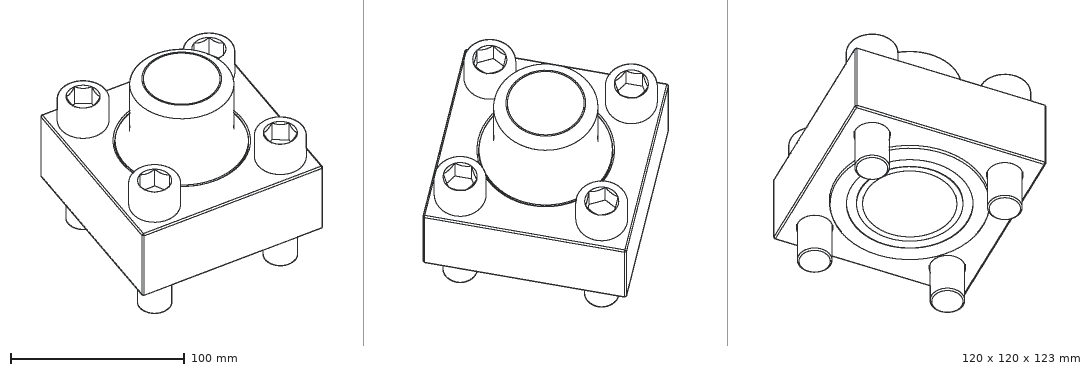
import cadquery as cq
import math

flange_width = 120.0
flange_height = 48.1
flange_bottom = 26.9
flange_top = flange_bottom + flange_height
edge_chamfer = 1.0
neck_hole_diameter = 77.5
collar_recess_diameter = 93.0
collar_recess_depth = 14.0

nipple_top = 123.0
nipple_bottom = 25.1
neck_diameter = 60.3
neck_rim_diameter = 46.0
weld_bevel_angle = 30.0
body_diameter = 77.0
collar_diameter = 92.0
collar_top = flange_bottom + collar_recess_depth
bore_diameter = 44.3
bore_length = 24.1
bore_mouth_diameter = 54.5

seal_inner_diameter = 61.5
seal_outer_diameter = 73.2
seal_protrusion = 1.5
seal_section = (seal_outer_diameter - seal_inner_diameter) / 2
seal_center_radius = (seal_outer_diameter + seal_inner_diameter) / 4
seal_bottom = nipple_bottom - seal_protrusion
groove_depth = seal_section - seal_protrusion

screw_spacing = 83.5
screw_count = 4
screw_hole_diameter = 21.0
shank_diameter = 20.0
shank_tip_chamfer = 1.0
shank_bottom = 0.0
head_diameter = 30.0
head_height = 20.0
head_rounding = 2.0
socket_corner_diameter = 19.7
socket_depth = 13.0
socket_chamfer_angle = 45.0


def cylinder(diameter, bottom, top):
    return cq.Workplane("XY").workplane(offset=bottom).circle(diameter / 2).extrude(top - bottom)


def make_flange():
    block = (
        cq.Workplane("XY")
        .workplane(offset=flange_bottom)
        .rect(flange_width, flange_width)
        .extrude(flange_height)
        .edges()
        .chamfer(edge_chamfer)
    )
    neck_hole = cylinder(neck_hole_diameter, flange_bottom, flange_top)
    collar_recess = cylinder(collar_recess_diameter, flange_bottom, collar_top)
    screw_holes = (
        cq.Workplane("XY")
        .workplane(offset=flange_bottom)
        .rect(screw_spacing, screw_spacing, forConstruction=True)
        .vertices()
        .circle(screw_hole_diameter / 2)
        .extrude(flange_height)
    )
    bored_block = block.cut(neck_hole).faces(">Z").edges("%CIRCLE").chamfer(edge_chamfer)
    return bored_block.cut(collar_recess).cut(screw_holes)


def make_nipple():
    neck_radius = neck_diameter / 2
    body_radius = body_diameter / 2
    rim_radius = neck_rim_diameter / 2
    collar_radius = collar_diameter / 2
    bore_radius = bore_diameter / 2
    foot_radius = body_radius - neck_radius
    bevel_height = (neck_radius - rim_radius) * math.tan(math.radians(weld_bevel_angle))
    arc_offset = foot_radius * (1 - math.sqrt(0.5))
    profile = (
        cq.Workplane("XZ")
        .moveTo(bore_mouth_diameter / 2, nipple_bottom)
        .lineTo(collar_radius, nipple_bottom)
        .lineTo(collar_radius, collar_top)
        .lineTo(body_radius, collar_top)
        .lineTo(body_radius, flange_top)
        .threePointArc(
            (neck_radius + arc_offset, flange_top + arc_offset),
            (neck_radius, flange_top + foot_radius),
        )
        .lineTo(neck_radius, nipple_top - bevel_height)
        .lineTo(rim_radius, nipple_top)
        .lineTo(bore_radius, nipple_top)
        .lineTo(bore_radius, nipple_top - bore_length)
        .close()
    )
    groove_top = nipple_bottom + groove_depth
    groove_core = cylinder(seal_inner_diameter, nipple_bottom, groove_top)
    groove = cylinder(seal_outer_diameter, nipple_bottom, groove_top).cut(groove_core)
    return profile.revolve(360, (0, 0, 0), (0, 1, 0)).cut(groove)


def make_seal_ring():
    return (
        cq.Workplane("XZ")
        .center(seal_center_radius, seal_bottom + seal_section / 2)
        .circle(seal_section / 2)
        .revolve(360, (-seal_center_radius, 0, 0), (-seal_center_radius, 1, 0))
    )


def make_screw(index):
    head_top = flange_top + head_height
    head = cylinder(head_diameter, flange_top, head_top).edges().fillet(head_rounding)
    shank = cylinder(shank_diameter, shank_bottom, flange_top)
    shank = shank.faces("<Z").chamfer(shank_tip_chamfer)
    socket = (
        cq.Workplane("XY")
        .workplane(offset=head_top - socket_depth)
        .polygon(6, socket_corner_diameter)
        .extrude(socket_depth)
    )
    cone_radius = socket_corner_diameter / 2
    cone_height = cone_radius / math.tan(math.radians(socket_chamfer_angle))
    socket_bevel = cq.Workplane(
        cq.Solid.makeCone(0, cone_radius, cone_height, cq.Vector(0, 0, head_top - cone_height))
    )
    screw = head.union(shank).cut(socket).cut(socket_bevel)
    corner = screw_spacing / 2
    step = 360 / screw_count
    return screw.translate((corner, corner, 0)).rotate((0, 0, 0), (0, 0, 1), index * step)


flange = make_flange()
nipple = make_nipple()
seal_ring = make_seal_ring()
screws = [make_screw(index) for index in range(screw_count)]

result = cq.Compound.makeCompound(
    [
        flange.solids().val(),
        nipple.solids().val(),
        seal_ring.solids().val(),
        *[screw.solids().val() for screw in screws],
    ]
)